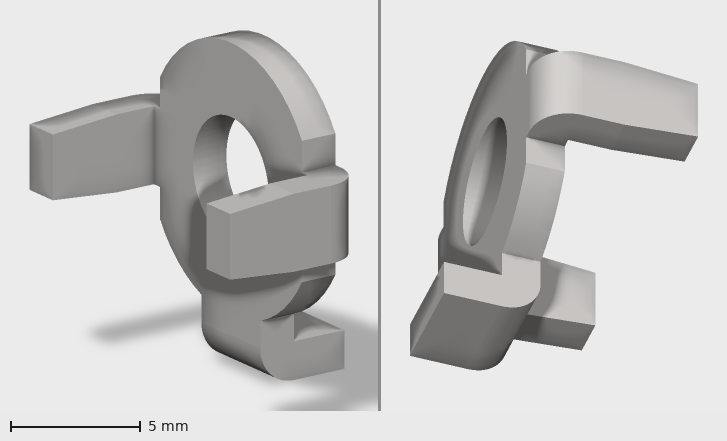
import cadquery as cq

thickness = 1.58
bend_radius = thickness
disc_radius = 5.57
hole_radius = 2.55
flat_width = 9.55

overall_width = 13.48
arm_height = 3.17
arm_tip_height = 2.67
arm_reach = 6.34
arm_taper_length = 3.0

tab_width = 3.96
tab_bottom = -7.9
tab_reach = 2.37


def make_disc():
    """Flat disc with its two sides cut straight."""
    disc = cq.Workplane("XZ").circle(disc_radius).extrude(-thickness)
    trim = cq.Workplane("XY").box(flat_width, 2 * thickness, 2 * disc_radius)
    return disc.intersect(trim.translate((0, thickness / 2, 0)))


def make_arm():
    """Right-hand arm, bent forward, with its tip tapered in height."""
    outer_x = overall_width / 2
    inner_x = outer_x - thickness
    tip_y = thickness - arm_reach
    taper_y = tip_y + arm_taper_length
    bent_strip = (
        cq.Workplane("XY")
        .moveTo(hole_radius, 0)
        .lineTo(inner_x, 0)
        .lineTo(inner_x, tip_y)
        .lineTo(outer_x, tip_y)
        .lineTo(outer_x, thickness - bend_radius)
        .radiusArc((outer_x - bend_radius, thickness), -bend_radius)
        .lineTo(hole_radius, thickness)
        .close()
        .extrude(arm_height / 2, both=True)
    )
    side_outline = (
        cq.Workplane("YZ")
        .polyline([
            (thickness, -arm_height / 2),
            (thickness, arm_height / 2),
            (taper_y, arm_height / 2),
            (tip_y, arm_tip_height / 2),
            (tip_y, -arm_tip_height / 2),
            (taper_y, -arm_height / 2),
        ])
        .close()
        .extrude(outer_x)
    )
    return bent_strip.intersect(side_outline)


def make_bottom_tab():
    """Bottom tab, bent backward."""
    back_y = thickness + tab_reach
    return (
        cq.Workplane("YZ")
        .moveTo(0, -hole_radius)
        .lineTo(0, tab_bottom + bend_radius)
        .radiusArc((bend_radius, tab_bottom), -bend_radius)
        .lineTo(back_y, tab_bottom)
        .lineTo(back_y, tab_bottom + thickness)
        .lineTo(thickness, tab_bottom + thickness)
        .lineTo(thickness, -hole_radius)
        .close()
        .extrude(tab_width / 2, both=True)
    )


arm = make_arm()
hole = cq.Workplane("XZ").circle(hole_radius).extrude(-thickness)
result = (
    make_disc()
    .union(arm)
    .union(arm.mirror("YZ"))
    .union(make_bottom_tab())
    .cut(hole)
)